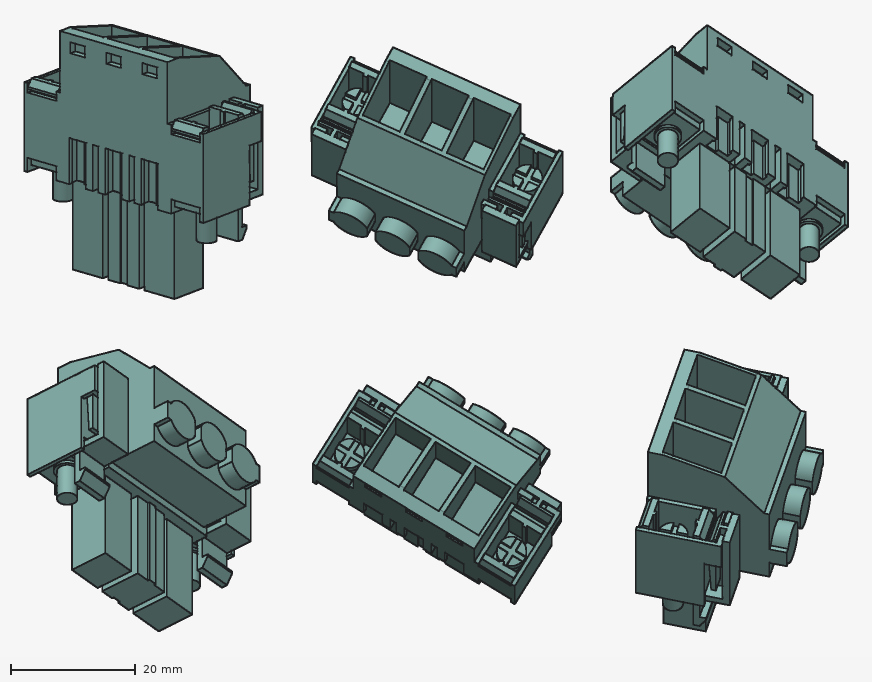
import cadquery as cq


overall_width = 38.1
overall_depth = 23.1
overall_height = 41.15
tower_half_width = 11.45
tower_depth = 20.2
tower_top = 25.65
tower_base = 1.4
tower_back_top = 16.4
tower_slope_back = 19.35
tower_ridge = (12.8, 23.25)
tower_flat_depth = 2.65
block_top = 15.15
block_depth = 11.35

pole_pitch = 7.65
pole_centers = [-pole_pitch, 0, pole_pitch]

cell_width = 6.63
cell_pitch = 7.55
cell_front = 2.3
cell_back = 12.05
cell_floor = 9.88

window_width = 3.1
window_bottom = 22.35
window_top = 24.25
window_depth = 1.25

button_radius = 3.37
button_width = 6.17
button_axis_height = 6.38
button_tab_height = 3.3

shroud_bottom = tower_top - overall_height
shroud_front = 2.43
shroud_outer_edge = 10.82
shroud_gap = 1.1
middle_shroud_width = 6.63
outer_shroud_back = 9.45
middle_shroud_back = 9.9
middle_groove_width = 1.52
middle_groove_depth = 0.33

recess_top = 7.85
recess_width = 3.55
recess_lip = 0.7
recess_undercut = 0.25
recess_shallow_depth = 1.55
recess_full_depth = 2.15

flange_center = 15.25
pocket_width = 6.15
pocket_front = 0.95
pocket_back = 10.4
hook_notch_bottom = 13.55
foot_notch_top = 2.43
flange_back = 14.2
flange_wall = 0.95
flange_wall_bottom = 10.15
web_width = 0.75
wall_notch_width = 2.6
wall_notch_depth = 1.65

insert_top = 15.7
strip_thickness = 1.05
hook_reach = 0.82
hook_face_top = 14.5
hook_bottom = 14.07
floor_bottom = 0.95
floor_top = 2.43
boss_radius = 2.2
boss_bottom = 0.4
rib_depth = 0.35
leg_bottom = -5.8
leg_hook_back = 11.52
leg_hook_top = -3.62
leg_hook_edge = 0.35
lever_back = 15.45
foot_bottom = 0.58
foot_top = 1.75
web_front = 12.35
wedge_back = 13.13
wedge_tip = 12.7
wedge_crest_front = 11.73
wedge_crest_height = 13.8
wedge_bottom = 3.5

screw_center_y = 5.2
screw_head_radius = 2.4
screw_head_top = 11.6
screw_head_height = 2.45
screw_radius = 1.65
screw_bottom = -5.15
cross_slot_width = 0.95
cross_slot_depth = 0.82


def box(x_range, y_range, z_range):
    """Box given by its limits along each axis."""
    (x0, x1), (y0, y1), (z0, z1) = x_range, y_range, z_range
    return cq.Workplane("XY").box(x1 - x0, y1 - y0, z1 - z0, centered=False).translate((x0, y0, z0))


def around(center, width):
    """Limits of a width centred on a coordinate."""
    return (center - width / 2, center + width / 2)


def side_profile(points, x_range):
    """Outline in the YZ plane extruded along X."""
    x0, x1 = x_range
    return cq.Workplane("YZ").polyline(points).close().extrude(x1 - x0).translate((x0, 0, 0))


def upright_cylinder(radius, x, y, z_range):
    z0, z1 = z_range
    return cq.Workplane("XY", origin=(x, y, z0)).circle(radius).extrude(z1 - z0)


def mirrored_pair(left):
    return [left, left.mirror("YZ")]


pocket_x = around(-flange_center, pocket_width)


def make_tower():
    outline = [
        (0, 0),
        (block_depth, 0),
        (block_depth, tower_base),
        (tower_depth, tower_base),
        (tower_depth, tower_back_top),
        (tower_slope_back, tower_back_top),
        tower_ridge,
        (tower_flat_depth, tower_top),
        (0, tower_top),
    ]
    return side_profile(outline, around(0, 2 * tower_half_width))


def make_buttons():
    """Round wire entries behind the tower, the outer two joined flush to its sides."""
    length = overall_depth - tower_depth
    y_range = (tower_depth, overall_depth)
    tab_z = around(button_axis_height, button_tab_height)
    buttons = box((-tower_half_width, -pole_pitch), y_range, tab_z)
    buttons = buttons.union(box((pole_pitch, tower_half_width), y_range, tab_z))
    for x in pole_centers:
        axis_end = (x, overall_depth, button_axis_height)
        barrel = cq.Workplane("XZ", origin=axis_end).circle(button_radius).extrude(length)
        flats = box(around(x, button_width), y_range, around(button_axis_height, 2 * button_radius))
        buttons = buttons.union(barrel.intersect(flats))
    return buttons


def make_shrouds():
    inner = middle_shroud_width / 2
    outer = inner + shroud_gap
    z_range = (shroud_bottom, 0)
    left = box((-shroud_outer_edge, -outer), (shroud_front, outer_shroud_back), z_range)
    middle = box((-inner, inner), (shroud_front, middle_shroud_back), z_range)
    right = box((outer, shroud_outer_edge), (shroud_front, outer_shroud_back), z_range)
    groove_x = around(0, middle_groove_width)
    groove = box(groove_x, (shroud_front, shroud_front + middle_groove_depth), z_range)
    rib = box(groove_x, (middle_shroud_back, middle_shroud_back + middle_groove_depth), z_range)
    return left.union(middle.cut(groove)).union(rib).union(right)


def make_front_recesses():
    """Stepped, undercut coding recess at each pole and a slot between neighbouring poles."""
    z_range = (0, recess_top)
    slot_center = (middle_shroud_width + shroud_gap) / 2
    recesses = box(around(-slot_center, shroud_gap), (0, shroud_front), z_range)
    recesses = recesses.union(box(around(slot_center, shroud_gap), (0, shroud_front), z_range))
    for x in pole_centers:
        left, right = around(x, recess_width + 2 * recess_undercut)
        recesses = recesses.union(box(around(x, recess_width), (0, recess_lip), z_range))
        recesses = recesses.union(box((left, x), (recess_lip, recess_full_depth), z_range))
        recesses = recesses.union(box((x, right), (recess_lip, recess_shallow_depth), z_range))
    return recesses


def make_cells_and_windows():
    cuts = cq.Workplane("XY")
    for x in [-cell_pitch, 0, cell_pitch]:
        cuts = cuts.union(box(around(x, cell_width), (cell_front, cell_back), (cell_floor, tower_top)))
    for x in pole_centers:
        cuts = cuts.union(box(around(x, window_width), (0, window_depth), (window_bottom, window_top)))
    return cuts


def make_left_flange():
    """Flange block with its rear wall and the pocket for the insert."""
    x_range = (-overall_width / 2, -tower_half_width)
    outer_wall_x = (-overall_width / 2, pocket_x[0])
    rear_z = (flange_wall_bottom, block_top)
    rear_wall_y = (flange_back - flange_wall, flange_back)

    flange = box(x_range, (0, block_depth), (0, block_top))
    flange = flange.union(box(outer_wall_x, (block_depth, flange_back), rear_z))
    flange = flange.union(box(x_range, rear_wall_y, rear_z))

    pocket = box(pocket_x, (pocket_front, pocket_back), (0, block_top))
    hook_notches = box(pocket_x, (0, block_depth), (hook_notch_bottom, block_top))
    foot_notches = box(pocket_x, (0, block_depth), (0, foot_notch_top))
    web_slot = box(around(-flange_center, web_width), rear_wall_y, rear_z)
    wall_notch_z = (block_top - wall_notch_depth, block_top)
    wall_notch = box(around(-flange_center, wall_notch_width), rear_wall_y, wall_notch_z)
    return flange.cut(pocket).cut(hook_notches).cut(foot_notches).cut(web_slot).cut(wall_notch)


def make_housing():
    housing = make_tower().union(make_buttons()).union(make_shrouds())
    for flange in mirrored_pair(make_left_flange()):
        housing = housing.union(flange)
    return housing.cut(make_front_recesses()).cut(make_cells_and_windows())


def make_left_insert():
    """Cage around the screw with a release lever behind it."""
    rib_x = around(-flange_center, web_width)

    front_strip = [
        (pocket_front, floor_bottom),
        (pocket_front + strip_thickness, floor_bottom),
        (pocket_front + strip_thickness, insert_top),
        (pocket_front, insert_top),
        (pocket_front - hook_reach, hook_face_top),
        (pocket_front - hook_reach, hook_bottom),
        (pocket_front, hook_bottom),
    ]
    leg_front = pocket_back - strip_thickness
    back_strip = [
        (leg_front, leg_bottom),
        (pocket_back, leg_bottom),
        (leg_hook_back, leg_hook_top - leg_hook_edge),
        (leg_hook_back, leg_hook_top),
        (pocket_back, leg_hook_top),
        (pocket_back, hook_bottom),
        (pocket_back + hook_reach, hook_bottom),
        (pocket_back + hook_reach, hook_face_top),
        (pocket_back, insert_top),
        (leg_front, insert_top),
    ]
    wedge = [
        (wedge_back, wedge_bottom),
        (wedge_back, insert_top),
        (wedge_tip, insert_top),
        (wedge_crest_front, wedge_crest_height),
        (web_front, wedge_bottom),
    ]
    floor_front = pocket_front + strip_thickness

    insert = side_profile(front_strip, pocket_x).union(side_profile(back_strip, pocket_x))
    insert = insert.union(box(pocket_x, (floor_front, leg_front), (floor_bottom, floor_top)))
    ledge_y = (leg_front - strip_thickness, leg_front)
    insert = insert.union(box(pocket_x, ledge_y, (boss_bottom, floor_bottom)))
    insert = insert.union(box(rib_x, (floor_front, floor_front + rib_depth), (floor_top, insert_top)))
    insert = insert.union(box(rib_x, (leg_front - rib_depth, leg_front), (floor_top, insert_top)))
    boss = upright_cylinder(boss_radius, -flange_center, screw_center_y, (boss_bottom, floor_bottom))
    insert = insert.union(boss)

    insert = insert.union(box(pocket_x, (pocket_back, lever_back), (foot_bottom, foot_top)))
    insert = insert.union(box(pocket_x, (flange_back, lever_back), (foot_bottom, insert_top)))
    insert = insert.union(box(rib_x, (wedge_back, flange_back), (foot_top, insert_top)))
    insert = insert.union(box(rib_x, (web_front, flange_back), (foot_top, wedge_bottom)))
    insert = insert.union(side_profile(wedge, pocket_x))

    bore = upright_cylinder(screw_radius, -flange_center, screw_center_y, (boss_bottom, floor_top))
    return insert.cut(bore)


def make_left_screw():
    head_z = (screw_head_top - screw_head_height, screw_head_top)
    screw = upright_cylinder(screw_head_radius, -flange_center, screw_center_y, head_z)
    shank = upright_cylinder(screw_radius, -flange_center, screw_center_y, (screw_bottom, head_z[0]))
    screw = screw.union(shank)
    slot_z = (screw_head_top - cross_slot_depth, screw_head_top)
    slot_length = 2 * screw_head_radius
    for x_size, y_size in [(slot_length, cross_slot_width), (cross_slot_width, slot_length)]:
        screw = screw.cut(box(around(-flange_center, x_size), around(screw_center_y, y_size), slot_z))
    return screw


housing = make_housing()
inserts = mirrored_pair(make_left_insert())
screws = mirrored_pair(make_left_screw())

bodies = []
for body in [housing, *inserts, *screws]:
    bodies += body.solids().vals()
result = cq.Compound.makeCompound(bodies)